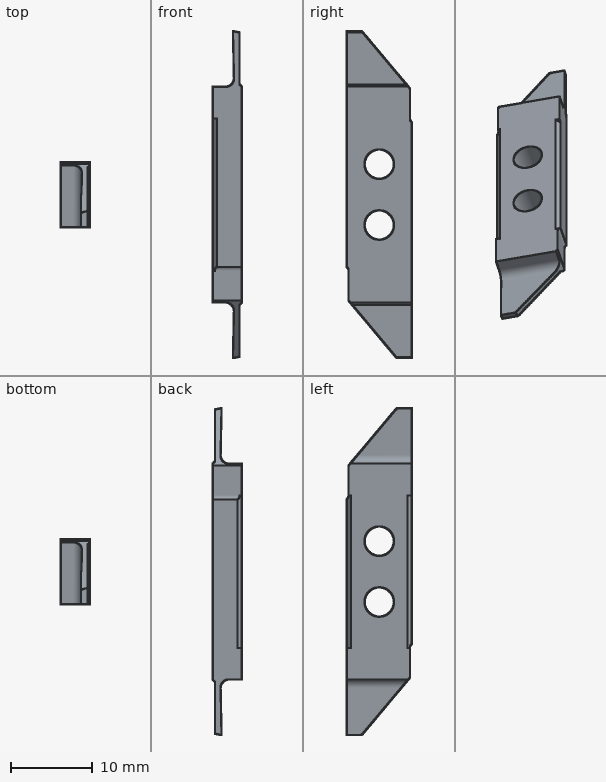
import cadquery as cq
import math

thickness = 3.6
width = 8.0
length = 40.0
half_width = width / 2
half_length = length / 2
mount_face = -thickness / 2
back_face = thickness / 2

body_half_length = 13.2
root_radius = 1.0
blade_root_x = mount_face + 2.6
blade_tip_x = mount_face + 2.5
blade_back_x = mount_face + 3.3
back_shoulder_rise = 0.3
tip_drop = 0.15

slant_start = 12.95
slant_angle = 50.0
tip_corner_radius = 0.4
relief_depth = 0.25
relief_start = 8.85
relief_radius = 0.6

chamfer_size = 0.5

hole_diameter = 3.55
hole_spacing = 7.45

relief_y = half_width - relief_depth
relief_run = math.sqrt(relief_radius**2 - (relief_radius - relief_depth) ** 2)
relief_end = relief_start + relief_run


def half_turned(points):
    """Rotate profile points by a half turn about the origin."""
    return [(-y, -z) for y, z in points]


def corner_selector(y, z):
    """Select the through-thickness edge at one corner of the Y-Z outline."""
    reach = tip_corner_radius / 2
    return cq.selectors.BoxSelector(
        (mount_face, y - reach, z - reach),
        (back_face, y + reach, z + reach),
    )


def side_body():
    """Extrude the Y-Z outline, with concave arcs leading into the side reliefs."""
    slant_run = (half_length - slant_start) / math.tan(math.radians(slant_angle))
    arc_half_angle = math.acos(1 - relief_depth / relief_radius) / 2
    arc_mid = (
        relief_y + relief_radius * (1 - math.cos(arc_half_angle)),
        relief_end - relief_radius * math.sin(arc_half_angle),
    )
    side = [
        (half_width, relief_start),
        arc_mid,
        (relief_y, relief_end),
        (relief_y, slant_start),
        (relief_y - slant_run, half_length),
        (-half_width, half_length),
    ]
    outline = cq.Workplane("YZ", origin=(mount_face, 0, 0)).moveTo(*side[0])
    for index, points in enumerate((side, half_turned(side))):
        if index:
            outline = outline.lineTo(*points[0])
        outline = outline.threePointArc(points[1], points[2])
        for point in points[3:]:
            outline = outline.lineTo(*point)
    body = outline.close().extrude(thickness)
    upper_corner = corner_selector(relief_y - slant_run, half_length)
    lower_corner = corner_selector(slant_run - relief_y, -half_length)
    return body.edges(upper_corner + lower_corner).fillet(tip_corner_radius)


def blade_profile():
    """Extrude the X-Z profile of the upper half, with its flared blade."""
    arc_offset = root_radius * math.sqrt(0.5)
    arc_center = (blade_root_x - root_radius, body_half_length + root_radius)
    arc_mid = (arc_center[0] + arc_offset, arc_center[1] - arc_offset)
    return (
        cq.Workplane("XZ", origin=(0, half_width, 0))
        .moveTo(mount_face, 0)
        .lineTo(mount_face, body_half_length)
        .lineTo(arc_center[0], body_half_length)
        .threePointArc(arc_mid, (blade_root_x, arc_center[1]))
        .lineTo(blade_tip_x, half_length)
        .lineTo(blade_back_x, half_length - tip_drop)
        .lineTo(blade_back_x, body_half_length + back_shoulder_rise)
        .lineTo(back_face, body_half_length)
        .lineTo(back_face, 0)
        .close()
        .extrude(width)
    )


def edge_chamfer(side):
    """Wedge removed along the mounting face, on the given Y side."""
    return (
        cq.Workplane("XY", origin=(0, 0, -relief_end))
        .moveTo(mount_face, side * half_width)
        .lineTo(mount_face + chamfer_size, side * half_width)
        .lineTo(mount_face, side * (half_width - chamfer_size))
        .close()
        .extrude(2 * relief_end)
    )


upper_profile = blade_profile()
lower_profile = upper_profile.mirror("XY")
result = side_body().intersect(upper_profile.union(lower_profile))

for side in (-1, 1):
    result = result.cut(edge_chamfer(side))

mounting_holes = (
    cq.Workplane("YZ", origin=(mount_face, 0, 0))
    .pushPoints([(0, -hole_spacing / 2), (0, hole_spacing / 2)])
    .circle(hole_diameter / 2)
    .extrude(thickness)
)
result = result.cut(mounting_holes).clean()